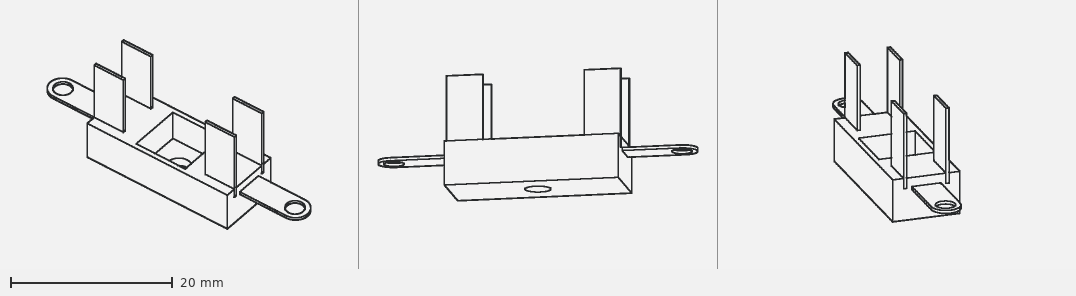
import cadquery as cq

total_length = 40.2
housing_length = 21.9
housing_width = 8.8
housing_height = 5.6

pocket_length = 7.65
pocket_width = 7.4
pocket_depth = 4.3
floor_hole_diameter = 3.2

blade_length = 4.6
blade_thickness = 0.4
blade_spacing = 5.55
blade_top = 14.2
blade_embedment = 1.35
blade_bottom = housing_height - blade_embedment
blade_height = blade_top - blade_bottom

lug_width = 3.78
lug_thickness = 0.4
lug_top_below_housing_top = 1.2
lug_hole_diameter = 2.5
lug_end_radius = lug_width / 2
lug_bottom = housing_height - lug_top_below_housing_top - lug_thickness
lug_root_x = housing_length / 2
lug_tip_x = total_length / 2
lug_end_centre_x = lug_tip_x - lug_end_radius
lug_hole_x = 18.15

SIDES = (-1, 1)


def make_blade(side_x, side_y):
    """One upright blade, its outer edge flush with a housing end."""
    centre_x = side_x * (housing_length - blade_length) / 2
    centre_y = side_y * blade_spacing / 2
    return (
        cq.Workplane("XY")
        .box(blade_length, blade_thickness, blade_height, centered=(True, True, False))
        .translate((centre_x, centre_y, blade_bottom))
    )


def make_lug(side_x):
    """One flat lug that butts against a housing end face."""
    lug = (
        cq.Workplane("XY", origin=(0, 0, lug_bottom))
        .moveTo(side_x * lug_root_x, -lug_width / 2)
        .lineTo(side_x * lug_end_centre_x, -lug_width / 2)
        .threePointArc((side_x * lug_tip_x, 0), (side_x * lug_end_centre_x, lug_width / 2))
        .lineTo(side_x * lug_root_x, lug_width / 2)
        .close()
        .extrude(lug_thickness)
    )
    hole = (
        cq.Workplane("XY", origin=(side_x * lug_hole_x, 0, lug_bottom))
        .circle(lug_hole_diameter / 2)
        .extrude(lug_thickness)
    )
    return lug.cut(hole)


def make_housing(fitted_blades):
    """Block with a pocket, a floor hole and a matching slot for each blade."""
    block = cq.Workplane("XY").box(
        housing_length, housing_width, housing_height, centered=(True, True, False)
    )
    pocket = (
        cq.Workplane("XY", origin=(0, 0, housing_height))
        .rect(pocket_length, pocket_width)
        .extrude(-pocket_depth)
    )
    floor_hole = cq.Workplane("XY").circle(floor_hole_diameter / 2).extrude(housing_height)
    housing = block.cut(pocket).cut(floor_hole)
    for blade in fitted_blades:
        housing = housing.cut(blade)
    return housing


blades = [make_blade(side_x, side_y) for side_x in SIDES for side_y in SIDES]
lugs = [make_lug(side_x) for side_x in SIDES]
housing = make_housing(blades)

result = cq.Compound.makeCompound(
    [housing.val()]
    + [blade.val() for blade in blades]
    + [lug.val() for lug in lugs]
)